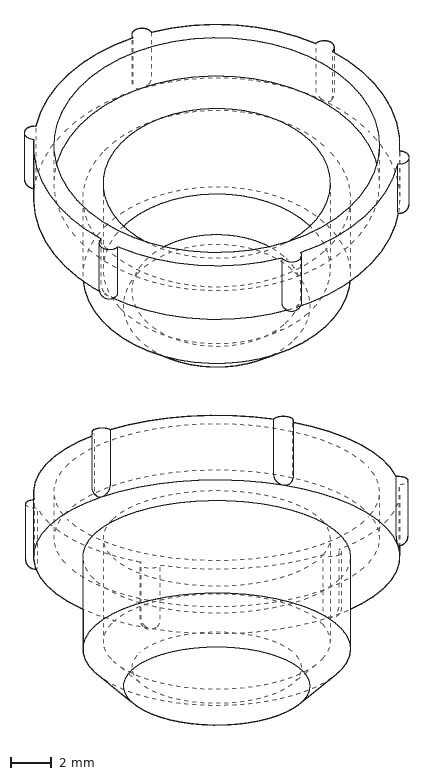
import cadquery as cq
import math

wall = 1.0
total_height = 10.5

rim_diameter = 18.0
rim_height = 3.5
rim_bottom = total_height - rim_height
rim_floor = rim_bottom + wall

body_diameter = 13.16
foot_bevel = 2.0

rib_count = 6
rib_radius = 0.5
rib_first_angle = 90.0

rim_radius = rim_diameter / 2
rim_inner_radius = rim_radius - wall
body_radius = body_diameter / 2
body_inner_radius = body_radius - wall
foot_radius = body_radius - foot_bevel

cone_inset = wall * math.sqrt(2)
floor_radius = foot_radius + wall - cone_inset
cone_top = wall + body_inner_radius - floor_radius


def make_cup():
    """Revolve the wall section about the Z axis."""
    section = [
        (0, 0),
        (foot_radius, 0),
        (body_radius, foot_bevel),
        (body_radius, rim_bottom),
        (rim_radius, rim_bottom),
        (rim_radius, total_height),
        (rim_inner_radius, total_height),
        (rim_inner_radius, rim_floor),
        (body_inner_radius, rim_floor),
        (body_inner_radius, cone_top),
        (floor_radius, wall),
        (0, wall),
    ]
    profile = cq.Workplane("XZ").polyline(section).close()
    return profile.revolve(360, (0, 0, 0), (0, 1, 0))


def make_rib(angle):
    """Revolve an upright rib with a domed lower end, centred on the rim's outer surface."""
    dome_center = rim_bottom + rib_radius
    arc_offset = rib_radius * math.sqrt(0.5)
    rib = (
        cq.Workplane("XZ")
        .moveTo(0, rim_bottom)
        .threePointArc((arc_offset, dome_center - arc_offset), (rib_radius, dome_center))
        .lineTo(rib_radius, total_height)
        .lineTo(0, total_height)
        .close()
        .revolve(360, (0, 0, 0), (0, 1, 0))
    )
    return rib.translate((rim_radius, 0, 0)).rotate((0, 0, 0), (0, 0, 1), angle)


result = make_cup()
for index in range(rib_count):
    rib_angle = rib_first_angle + index * 360 / rib_count
    result = result.union(make_rib(rib_angle))